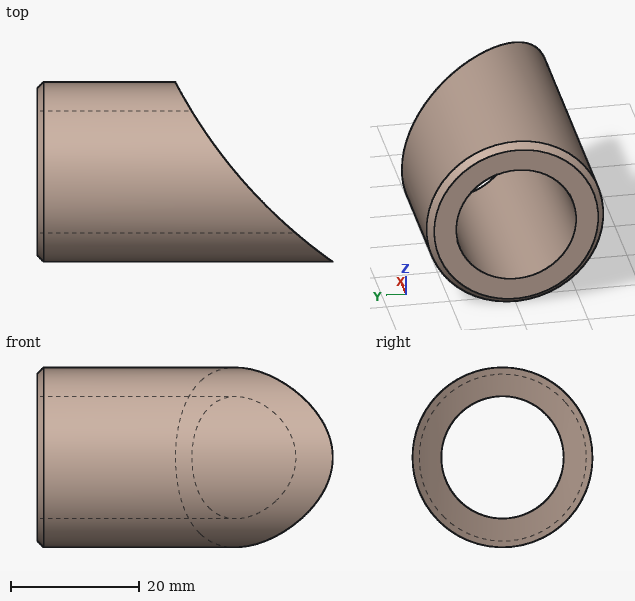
import cadquery as cq

overall_length = 46.0
outer_diameter = 28.0
bore_diameter = 19.0
end_chamfer = 1.0
short_side_length = 21.5
axis_length = 30.8

outer_radius = outer_diameter / 2
cut_margin = 2.3


def make_tube():
    """Tube along X with a chamfered outer edge at its square end."""
    body = cq.Workplane("YZ").circle(outer_radius).extrude(overall_length)
    body = body.faces("<X").edges().chamfer(end_chamfer)
    bore = cq.Workplane("YZ").circle(bore_diameter / 2).extrude(overall_length)
    return body.cut(bore)


def make_saddle_cutter():
    """Body beyond the curved oblique end, running straight along Z."""
    far_x = overall_length + cut_margin
    far_y = outer_radius + cut_margin
    return (
        cq.Workplane("XY")
        .moveTo(overall_length, -outer_radius)
        .threePointArc((axis_length, 0), (short_side_length, outer_radius))
        .lineTo(short_side_length, far_y)
        .lineTo(far_x, far_y)
        .lineTo(far_x, -outer_radius)
        .close()
        .extrude(outer_radius + cut_margin, both=True)
    )


result = make_tube().cut(make_saddle_cutter())